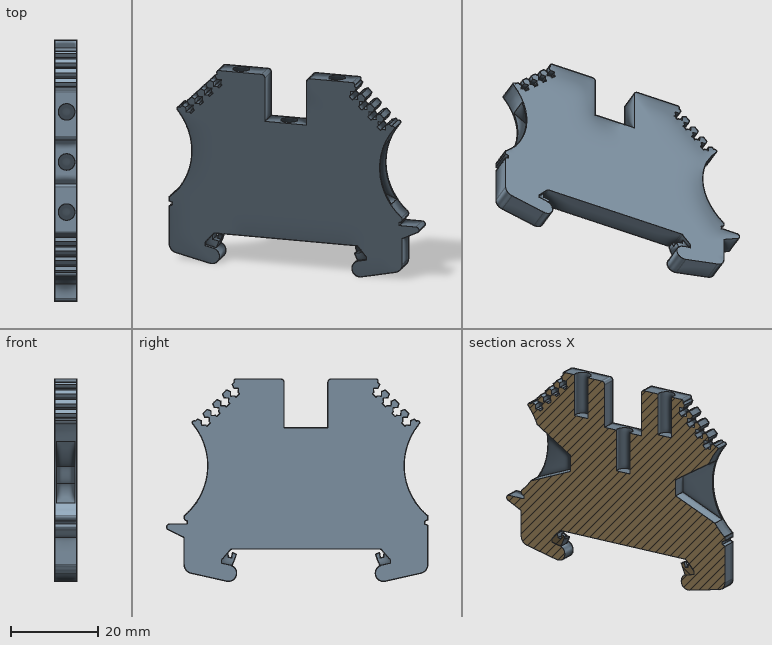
import cadquery as cq
import math


thickness = 5.1
mid_x = thickness / 2
height = 46.5
half_length = 28.0
lever_tip = 32.0

slot_half_width = 5.0
slot_floor = 35.3
slot_corner_radius = 0.8
screw_hole_diameter = 3.8
screw_hole_depth = 10.0
screw_hole_pitch = 11.5
screw_hole_offset = 0.2
screw_hole_x = mid_x + screw_hole_offset

tooth_pitch = 3.15
groove_count = 4
tooth_row_length = groove_count * tooth_pitch
first_tooth_y, first_tooth_z = 16.47, 45.73
tip_half_width = 0.68
bulge_half_width, bulge_depth = 1.05, 0.89
neck_half_width, neck_depth = 0.33, 1.67
pocket_half_width, pocket_depth = 0.55, 2.27
groove_depth = 2.70
cutter_overshoot = 1.0

bead_past = 0.48
bead_sink = 0.11

grip_radius = 15.0
grip_center_y, grip_center_z = 37.55, 26.6
grip_top = 36.1
grip_bottom = 15.15

funnel_width = 4.2
funnel_mouth_bottom, funnel_mouth_top = 18.0, 32.1
funnel_end_bottom, funnel_end_top = 22.5, 26.4
funnel_end_y = 14.5

notch_floor_y = 27.28
marker_groove_lip_top, marker_groove_lip_bottom = 14.15, 12.9
marker_groove_top, marker_groove_bottom = 13.85, 13.2
lip_radius = half_length - notch_floor_y
lip_bottom = 13.9
lip_center_z = lip_bottom + lip_radius
lever_top = 13.2
lever_tip_radius = 0.7
lever_slope = math.radians(25)
lever_root_z = 10.1

rail_ceiling = 7.4
rail_half_width = 17.2
rail_corner_radius = 0.4
undercut_y, undercut_top = 19.4, 4.96
toe_radius = 1.9
toe_y, toe_z = 17.8, toe_radius
foot_slope = math.radians(12.6)
foot_corner_radius = 2.1
toe_tangent_y = toe_radius * math.sin(foot_slope)
toe_tangent_z = toe_radius * math.cos(foot_slope)
ledge_inner = (toe_y - toe_tangent_y, toe_z + toe_tangent_z)
sole_inner = (toe_y + toe_tangent_y, toe_z - toe_tangent_z)


def on_ledge(y):
    """Height of the sloping top of the foot at distance y from the middle."""
    return ledge_inner[1] + (y - ledge_inner[0]) * math.tan(foot_slope)


def on_undercut(y):
    """Height of the slanted roof of the undercut at distance y from the middle."""
    slope = (rail_ceiling - undercut_top) / (undercut_y - rail_half_width)
    return undercut_top + (undercut_y - y) * slope


def on_sole(y):
    """Height of the sloping bottom of the foot at distance y from the middle."""
    return sole_inner[1] + (y - sole_inner[0]) * math.tan(foot_slope)


clip_inset = 0.9
clip_tab_start = mid_x
clip_inner_bottom_y = 16.95
clip_inner_top = (16.27, 5.27)
clip_gap_floor = (17.8, 5.58)
clip_gap_top_y = 17.9
clip_gap_top = (clip_gap_top_y, on_undercut(clip_gap_top_y))
tab_root = (17.1, 5.43)
tab_outer_tip = (16.9, 6.65)
tab_inner_tip = (15.95, 6.25)


def prism(profile, start_x, end_x):
    """Solid from a (Y, Z) profile, between two X positions."""
    return profile.extrude(end_x - start_x).translate((start_x, 0, 0))


def mirrored(points, side):
    """Points given as (distance from Y = 0, Z), placed on the +Y (1) or -Y (-1) side."""
    return [(side * y, z) for y, z in points]


def shoulder_point(along, outward):
    """(Y distance, Z) at a distance down the tooth row and outward from the tip line."""
    y = first_tooth_y + (along + outward) / math.sqrt(2)
    z = first_tooth_z + (outward - along) / math.sqrt(2)
    return (y, z)


def grip_y(z):
    """Distance of the concave grip from Y = 0 at height z."""
    return grip_center_y - math.sqrt(grip_radius**2 - (z - grip_center_z) ** 2)


def bead_arcs():
    """Three points on the upper bead, then three on the lower bead, from top to bottom."""
    upper_y, upper_z = shoulder_point(-bead_past, -bead_sink)
    lower_y, lower_z = shoulder_point(tooth_row_length + bead_past, -bead_sink)
    radius = height - upper_z
    root = bead_past - math.sqrt(radius**2 - bead_sink**2)
    apex = radius - bead_sink
    upper = [
        (upper_y, height),
        shoulder_point(-bead_past, apex),
        shoulder_point(-root, 0),
    ]
    lower = [
        shoulder_point(tooth_row_length + root, 0),
        shoulder_point(tooth_row_length + bead_past, apex),
        (lower_y + radius, lower_z),
    ]
    return upper, lower


def add_marker_groove(profile):
    """Continue the +Y profile down past the small flared groove in the end face."""
    return (
        profile.lineTo(half_length, grip_bottom)
        .lineTo(half_length, marker_groove_lip_top)
        .lineTo(notch_floor_y, marker_groove_top)
        .lineTo(notch_floor_y, marker_groove_bottom)
        .lineTo(half_length, marker_groove_lip_bottom)
    )


def add_lip_and_lever(profile):
    """Continue the -Y profile around the round lip and the release lever below it."""
    tip_center_y = lever_tip - lever_tip_radius
    tip_center_z = lever_top - lever_tip_radius
    tip_end_y = tip_center_y + lever_tip_radius * math.sin(lever_slope)
    tip_end_z = tip_center_z - lever_tip_radius * math.cos(lever_slope)
    return (
        profile.threePointArc((-half_length, lip_center_z), (-notch_floor_y, lip_bottom))
        .lineTo(-notch_floor_y, lever_top)
        .lineTo(-tip_center_y, lever_top)
        .threePointArc((-lever_tip, tip_center_z), (-tip_end_y, tip_end_z))
        .lineTo(-half_length, lever_root_z)
    )


def half_housing(side):
    """Housing from Y = 0 to one end, without its teeth, funnels and screw holes."""
    upper_bead, lower_bead = bead_arcs()
    top = [
        (0, rail_ceiling),
        (0, slot_floor),
        (slot_half_width, slot_floor),
        (slot_half_width, height),
        upper_bead[0],
    ]
    upper = mirrored(upper_bead, side)
    lower = mirrored(lower_bead, side)
    grip = mirrored([(grip_y(z), z) for z in (grip_top, grip_center_z, grip_bottom)], side)
    sole = [(half_length, on_sole(half_length)), sole_inner]
    toe = mirrored([(toe_y - toe_tangent_z, toe_z - toe_tangent_y), ledge_inner], side)
    rail = [
        (undercut_y, on_ledge(undercut_y)),
        (undercut_y, undercut_top),
        (rail_half_width, rail_ceiling),
    ]

    profile = (
        cq.Workplane("YZ")
        .polyline(mirrored(top, side))
        .threePointArc(upper[1], upper[2])
        .lineTo(*lower[0])
        .threePointArc(lower[1], lower[2])
        .lineTo(*grip[0])
        .threePointArc(grip[1], grip[2])
    )
    profile = add_marker_groove(profile) if side > 0 else add_lip_and_lever(profile)
    for point in mirrored(sole, side):
        profile = profile.lineTo(*point)
    profile = profile.threePointArc(toe[0], toe[1])
    for point in mirrored(rail, side):
        profile = profile.lineTo(*point)
    body = prism(profile.close(), 0, thickness)

    body = round_edge(body, side * slot_half_width, height, slot_corner_radius)
    body = round_edge(body, side * half_length, on_sole(half_length), foot_corner_radius)
    return round_edge(body, side * rail_half_width, rail_ceiling, rail_corner_radius)


def round_edge(body, y, z, radius):
    """Fillet the edge that runs along X through (y, z)."""
    return body.edges(cq.NearestToPointSelector((mid_x, y, z))).fillet(radius)


def tooth_groove(index, side):
    """Cutter between two teeth: narrow at the bulges, wide at the necks, with a pocket below."""
    right = [
        (tooth_pitch / 2 - tip_half_width, cutter_overshoot),
        (tooth_pitch / 2 - tip_half_width, 0),
        (tooth_pitch / 2 - bulge_half_width, -bulge_depth),
        (tooth_pitch / 2 - neck_half_width, -neck_depth),
        (pocket_half_width, -pocket_depth),
        (pocket_half_width, -groove_depth),
    ]
    left = [(-along, outward) for along, outward in reversed(right)]
    middle = (index + 0.5) * tooth_pitch
    points = [shoulder_point(middle + along, outward) for along, outward in right + left]
    return prism(cq.Workplane("YZ").polyline(mirrored(points, side)).close(), 0, thickness)


def wire_funnel(side):
    """Blind funnel in the grip, narrowing towards the middle of the housing."""
    bottom_run = grip_y(funnel_mouth_bottom) - funnel_end_y
    top_run = grip_y(funnel_mouth_top) - funnel_end_y
    bottom_slope = (funnel_end_bottom - funnel_mouth_bottom) / bottom_run
    top_slope = (funnel_mouth_top - funnel_end_top) / top_run
    reach = half_length - funnel_end_y
    points = [
        (funnel_end_y, funnel_end_bottom),
        (half_length, funnel_end_bottom - reach * bottom_slope),
        (half_length, funnel_end_top + reach * top_slope),
        (funnel_end_y, funnel_end_top),
    ]
    profile = cq.Workplane("YZ").polyline(mirrored(points, side)).close()
    return prism(profile, mid_x - funnel_width / 2, mid_x + funnel_width / 2)


def screw_hole(y, top):
    """Blind round hole going down from the face at height top."""
    hole = cq.Workplane("XY").circle(screw_hole_diameter / 2).extrude(-screw_hole_depth)
    return hole.translate((screw_hole_x, y, top))


def make_housing():
    """Both halves joined, then grooved, funnelled and drilled."""
    body = half_housing(1).union(half_housing(-1))
    for side in (1, -1):
        for index in range(groove_count):
            body = body.cut(tooth_groove(index, side))
        body = body.cut(wire_funnel(side))
        body = body.cut(screw_hole(side * screw_hole_pitch, height))
    return body.cut(screw_hole(0, slot_floor))


def make_rail_clip(side):
    """Clip filling the undercut above one foot, with a slanted tab along its inner edge."""
    base = [
        (undercut_y, undercut_top),
        (undercut_y, on_ledge(undercut_y)),
        (clip_inner_bottom_y, on_ledge(clip_inner_bottom_y)),
        clip_inner_top,
        clip_gap_floor,
        clip_gap_top,
    ]
    tab = [clip_inner_top, tab_root, tab_outer_tip, tab_inner_tip]
    far_face = thickness - clip_inset
    base_profile = cq.Workplane("YZ").polyline(mirrored(base, side)).close()
    tab_profile = cq.Workplane("YZ").polyline(mirrored(tab, side)).close()
    clip = prism(base_profile, clip_inset, far_face)
    return clip.union(prism(tab_profile, clip_tab_start, far_face))


housing = make_housing()
rail_clips = [make_rail_clip(side) for side in (1, -1)]
result = cq.Compound.makeCompound([body.solids().val() for body in [housing, *rail_clips]])